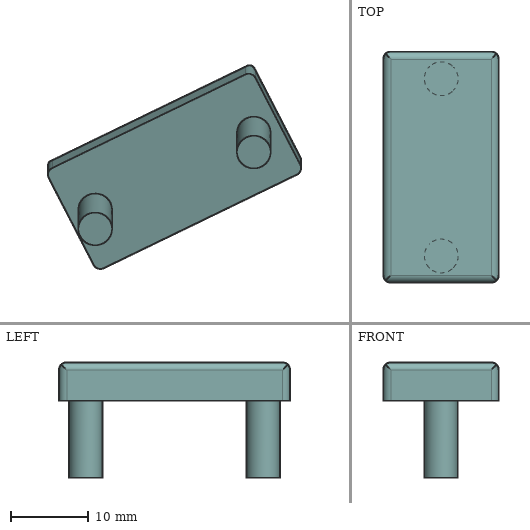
import cadquery as cq

length = 30.0
width = 15.0
height = 15.0

plate_thickness = 5.0
edge_radius = 1.0

peg_diameter = 4.38
peg_spacing = 23.0
peg_length = height - plate_thickness


def plate_block():
    """Sharp-edged block with its underside on Z = 0."""
    return cq.Workplane("XY").box(width, length, plate_thickness, centered=(True, True, False))


def make_plate():
    """Plate with rounded upright and top edges that meet in mitred corners.

    Each copy of the block is rounded along one direction only. Where the three
    copies overlap, the rounds cross in sharp mitres instead of ball corners.
    """
    plate = plate_block().edges("|Z").fillet(edge_radius)
    for edge_direction in ("|X", "|Y"):
        rounded_block = plate_block().edges(f"{edge_direction} and >Z").fillet(edge_radius)
        plate = plate.intersect(rounded_block)
    return plate


def make_pegs():
    """Pegs reaching down from the underside of the plate, on its long centre line."""
    peg_centres = [(0, -peg_spacing / 2), (0, peg_spacing / 2)]
    return cq.Workplane("XY").pushPoints(peg_centres).circle(peg_diameter / 2).extrude(-peg_length)


result = make_plate().union(make_pegs())